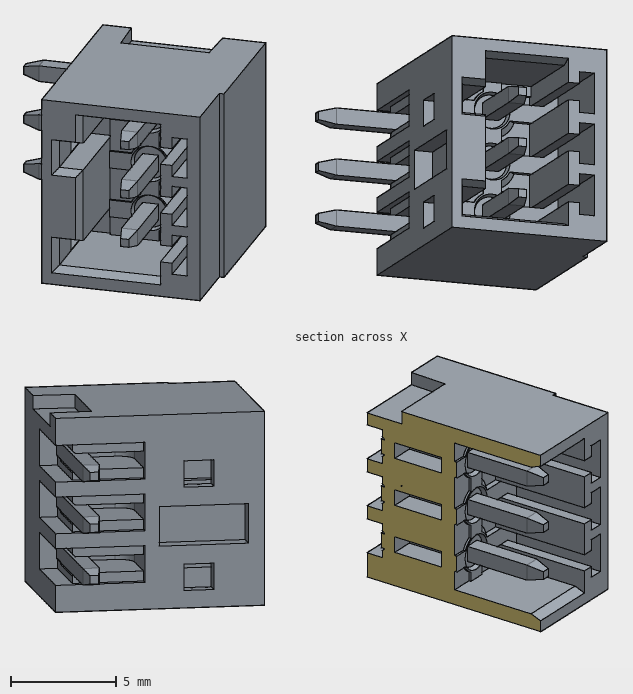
import cadquery as cq


housing_width = 8.1
housing_depth = 10.1
housing_height = 9.4
front_relief = 0.23
front_relief_depth = 3.2

pin_count = 3
pin_span = 5.0
pin_size = 0.8
pin_tip_size = 0.41
pin_taper = 0.82
pin_left = 3.48
pin_back_y = 9.28
pin_front_y = 0.81
solder_length = 11.6 - housing_width

cavity_left = 1.68
cavity_right = 5.9
cavity_margin = 0.59
notch_left = 0.5
lower_notch_top = 2.41
upper_notch_bottom = 5.59
upper_notch_top = 7.4
lead_in = 0.22
lead_in_depth = 0.55

ridge_floor = 4.87
shallow_floor = 4.99
deep_floor = 5.17
ledge_height = 0.5
ridge_left = 3.45
ridge_right = 4.36
stem_width = 0.86

seat_radius = 1.0
ring_outer_radius = 0.9
ring_inner_radius = 0.81
ring_depth = 0.23

slot_head_left = 6.48
slot_head_right = 7.23
slot_head_height = 2.0

slot_height = 1.77
slot_front_y = 5.79
slot_step_depth = 0.35
slot_step_back_y = 9.23
channel_blend = 0.8
channel_flare = 0.14
window_front_y = 2.45
window_length = 1.44
window_height = 1.28
window_offset = 0.71
recess_depth = 0.93
recess_front_y = 0.78
recess_length = 4.32
recess_bottom = 3.04
recess_height = 1.91

top_notch_left = 1.43
top_notch_right = 5.95
top_notch_length = 2.01
top_notch_depth = 0.65
top_notch_taper = 0.07

pin_half = pin_size / 2
pin_x = pin_left + pin_half
pin_right = pin_left + pin_size
pin_y = pin_back_y - pin_half
pin_pitch = pin_span / (pin_count - 1)
cavity_bottom = cavity_margin + lead_in
cavity_top = housing_height - cavity_margin - lead_in
pin_heights = [housing_height / 2 + (i - (pin_count - 1) / 2) * pin_pitch for i in range(pin_count)]


def box(x0, x1, y0, y1, z0, z1):
    """Block between two opposite corners."""
    return cq.Workplane("XY").box(x1 - x0, y1 - y0, z1 - z0, centered=False).translate((x0, y0, z0))


def cone(y, height, z, front_radius, back_radius):
    """Round frustum about a pin axis, running back from depth y."""
    front = cq.Workplane("XZ", origin=(pin_x, y, z)).circle(front_radius)
    return front.workplane(offset=-height).circle(back_radius).loft()


def cavity_outline(inset):
    """Cavity section; every wall but the right one moves in by the inset."""
    left = cavity_left + inset
    notch = notch_left + inset
    bottom = cavity_margin + inset
    top = housing_height - cavity_margin - inset
    return [
        (notch, bottom),
        (cavity_right, bottom),
        (cavity_right, top),
        (left, top),
        (left, upper_notch_top - inset),
        (notch, upper_notch_top - inset),
        (notch, upper_notch_bottom + inset),
        (left, upper_notch_bottom + inset),
        (left, lower_notch_top - inset),
        (notch, lower_notch_top - inset),
    ]


def cavity():
    """Mouth with a tapered lead-in, then straight walls, with deeper side notches."""
    mouth = (
        cq.Workplane("XZ").polyline(cavity_outline(0)).close()
        .workplane(offset=-lead_in_depth).polyline(cavity_outline(lead_in)).close()
        .loft(ruled=True)
    )
    shaft = (
        cq.Workplane("XZ", origin=(0, lead_in_depth, 0))
        .polyline(cavity_outline(lead_in)).close().extrude(lead_in_depth - ridge_floor)
    )
    space = mouth.union(shaft)
    left, right = notch_left + lead_in, cavity_left + lead_in
    notches = [
        (cavity_bottom, lower_notch_top - lead_in),
        (upper_notch_bottom + lead_in, upper_notch_top - lead_in),
    ]
    for bottom, top in notches:
        space = space.union(box(left, right, ridge_floor, deep_floor, bottom, top))
    return space


def floor_pockets():
    """Sunken floor around the ridges and round seats that join the pins."""
    drop = deep_floor - ridge_floor
    left_part = box(cavity_left + lead_in, ridge_left, ridge_floor, shallow_floor, cavity_bottom, cavity_top)
    ledges = box(ridge_right, cavity_right, ridge_floor, shallow_floor, cavity_bottom, cavity_top)
    right_part = box(
        ridge_right, cavity_right, ridge_floor, deep_floor,
        cavity_bottom + ledge_height, cavity_top - ledge_height,
    ).union(ledges)
    for z in pin_heights:
        stem_ridge = box(
            cavity_left, cavity_right, ridge_floor, deep_floor,
            z - stem_width / 2, z + stem_width / 2,
        )
        straight_seat = cone(ridge_floor, drop, z, seat_radius, seat_radius)
        flared_seat = cone(ridge_floor, drop, z, seat_radius, seat_radius + drop)
        left_part = left_part.cut(stem_ridge).cut(straight_seat)
        right_part = right_part.cut(stem_ridge).cut(flared_seat)
    return left_part.union(right_part)


def t_slot(z):
    """T-shaped slot through the mating face, open to the cavity along its stem."""
    stem = box(cavity_right, slot_head_left, 0, ridge_floor, z - stem_width / 2, z + stem_width / 2)
    head = box(
        slot_head_left, slot_head_right, 0, ridge_floor,
        z - slot_head_height / 2, z + slot_head_height / 2,
    )
    return stem.union(head)


def pin_slot(z):
    """Stepped side slot for the solder leg, with a blended pin channel at its core."""
    bottom, top = z - slot_height / 2, z + slot_height / 2
    step = box(0, slot_step_depth, slot_front_y, housing_depth, bottom, top)
    back = box(0, pin_right, slot_step_back_y, housing_depth, bottom, top)
    channel = (
        cq.Workplane("XY", origin=(0, 0, z - pin_half))
        .moveTo(0, slot_front_y)
        .lineTo(pin_left - channel_blend, slot_front_y)
        .radiusArc((pin_left, slot_front_y + channel_blend), -channel_blend)
        .lineTo(pin_left, slot_step_back_y)
        .lineTo(0, slot_step_back_y)
        .close()
        .extrude(pin_size)
    )
    flare = (
        cq.Workplane("YZ")
        .moveTo(slot_step_back_y - channel_flare, z - pin_half)
        .lineTo(slot_step_back_y, z - pin_half - channel_flare)
        .lineTo(slot_step_back_y, z + pin_half + channel_flare)
        .lineTo(slot_step_back_y - channel_flare, z + pin_half)
        .close()
        .extrude(pin_left)
    )
    return step.union(back).union(channel).union(flare)


def side_window(z):
    """Window through the side wall into a cavity notch, just below a pin axis."""
    middle = z - window_offset
    return box(
        0, notch_left + lead_in, window_front_y, window_front_y + window_length,
        middle - window_height / 2, middle + window_height / 2,
    )


def side_recess():
    """Blind rectangular recess between the windows."""
    return box(
        0, recess_depth, recess_front_y, recess_front_y + recess_length,
        recess_bottom, recess_bottom + recess_height,
    )


def top_notch():
    """Shallow notch in the top, narrowing slightly away from the back."""
    front_y = housing_depth - top_notch_length
    return (
        cq.Workplane("XY", origin=(0, 0, housing_height))
        .moveTo(top_notch_left, housing_depth)
        .lineTo(top_notch_left + top_notch_taper, front_y)
        .lineTo(top_notch_right - top_notch_taper, front_y)
        .lineTo(top_notch_right, housing_depth)
        .close()
        .extrude(-top_notch_depth)
    )


def taper(plane):
    """Square tip narrowing along the normal of the given plane."""
    return (
        cq.Workplane(plane).rect(pin_size, pin_size)
        .workplane(offset=pin_taper).rect(pin_tip_size, pin_tip_size).loft(ruled=True)
    )


def bent_pin(z):
    """Square pin with a mating leg along Y and a solder leg along X."""
    shoulder_y = pin_front_y + pin_taper
    shoulder_x = pin_taper - solder_length
    mating_leg = box(pin_left, pin_right, shoulder_y, pin_back_y, z - pin_half, z + pin_half)
    solder_leg = box(shoulder_x, pin_right, pin_back_y - pin_size, pin_back_y, z - pin_half, z + pin_half)
    mating_tip = taper(cq.Plane((pin_x, shoulder_y, z), (1, 0, 0), (0, -1, 0)))
    solder_tip = taper(cq.Plane((shoulder_x, pin_y, z), (0, 1, 0), (-1, 0, 0)))
    return mating_leg.union(solder_leg).union(mating_tip).union(solder_tip)


body = box(0, housing_width, 0, housing_depth, 0, housing_height)
body = body.cut(box(
    housing_width - front_relief, housing_width, 0, front_relief_depth, 0, housing_height,
))
body = body.cut(cavity()).cut(floor_pockets()).cut(side_recess()).cut(top_notch())
for height in (pin_heights[0], pin_heights[-1]):
    body = body.cut(side_window(height))
for height in pin_heights:
    pin_ring = cone(ridge_floor, ring_depth, height, ring_outer_radius, ring_inner_radius)
    body = body.cut(t_slot(height)).cut(pin_slot(height)).cut(pin_ring)
    body = body.union(bent_pin(height))

result = body